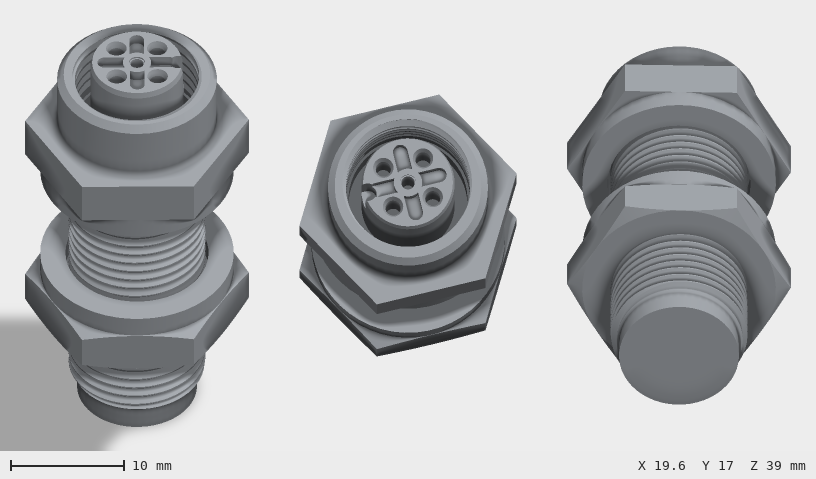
import cadquery as cq
import math

TOTAL_HEIGHT = 39.0
HEX_ACROSS_FLATS = 17.0
HEX_ACROSS_CORNERS = HEX_ACROSS_FLATS / math.cos(math.radians(30))
HEX_HEIGHT = 4.0
RING_DIAMETER = HEX_ACROSS_FLATS
RING_HOLE_DIAMETER = 12.55
RING_THICKNESS = 2.0

STEM_THREAD_LENGTH = 26.0
STEM_THREAD_TURNS = 26
PITCH = STEM_THREAD_LENGTH / STEM_THREAD_TURNS
MAJOR_RADIUS = 6.0
MINOR_RADIUS = 5.45
ROOT_FLAT = PITCH / 4
CREST_FLAT = PITCH / 8
TOOL_OVERLAP = 0.08

STEM_TIP_RADIUS = 5.25
STEM_TIP_HEIGHT = 2.1
FLANGE_BOTTOM = 28.0
FLANGE_TOP = FLANGE_BOTTOM + HEX_HEIGHT
HEAD_TOP = 37.55
HEAD_RADIUS = 7.02
HEAD_CHAMFER = 0.6
HEAD_FILLET = 0.45
SOCKET_DEPTH = 8.0
SOCKET_FLOOR = HEAD_TOP - SOCKET_DEPTH
SOCKET_LOWER_RADIUS = 5.23
SOCKET_THREAD_FULL_TURNS = 5
SOCKET_THREAD_EXIT_ANGLE = -30.0
SOCKET_THREAD_START = HEAD_TOP - (SOCKET_THREAD_EXIT_ANGLE / 360 + SOCKET_THREAD_FULL_TURNS) * PITCH

INSERT_RADIUS = 4.1
INSERT_CHAMFER_WIDTH = 0.15
INSERT_CHAMFER_HEIGHT = 0.5
CONTACT_COUNT = 4
CONTACT_CIRCLE_RADIUS = 2.55
CONTACT_FIRST_ANGLE = 15.0
CONTACT_MOUTH_RADIUS = 0.9
CONTACT_RADIUS = 0.65
CONTACT_MOUTH_DEPTH = 0.6
CONTACT_DEPTH = 3.9
CENTRE_MOUTH_RADIUS = 0.7
CENTRE_MOUTH_DEPTH = 0.15
CENTRE_RADIUS = 0.6
ISLAND_RADIUS = 1.25
SLOT_FIRST_ANGLE = 60.0
SLOT_WIDTH = 1.3
SLOT_REACH = 3.47
SLOT_DEPTH = 0.98
KEY_RADIUS = 0.78
KEY_DISTANCE = 3.63
KEY_DEPTH = 3.12

NUT_BOTTOM = 10.05
NUT_TOP_FACE_RADIUS = 8.3
NUT_BOTTOM_FACE_RADIUS = HEX_ACROSS_FLATS / 2
NUT_CHAMFER_HEIGHT = 0.5


def cylinder(radius, bottom, top):
    return cq.Workplane("XY").workplane(offset=bottom).circle(radius).extrude(top - bottom)


def hexagon(bottom):
    return cq.Workplane("XY").workplane(offset=bottom).polygon(6, HEX_ACROSS_CORNERS).extrude(HEX_HEIGHT)


def ring(bottom):
    ring_top = bottom + RING_THICKNESS
    hole = cylinder(RING_HOLE_DIAMETER / 2, bottom, ring_top)
    return cylinder(RING_DIAMETER / 2, bottom, ring_top).cut(hole)


def thread_groove(open_radius, root_radius, mouth_width, root_width, start, turns):
    """Helical V groove with its centre at Z = start on the +X side, widened past its open side."""
    into_air = math.copysign(TOOL_OVERLAP, open_radius - root_radius)
    slope = (mouth_width - root_width) / (open_radius - root_radius)
    mouth_half = (mouth_width + slope * into_air) / 2
    root_half = root_width / 2
    mouth_radius = open_radius + into_air
    path = cq.Workplane("XY", origin=(0, 0, start)).add(
        cq.Wire.makeHelix(PITCH, turns * PITCH, root_radius, cq.Vector(0, 0, start))
    )
    profile = cq.Workplane("XZ").polyline([
        (root_radius, start - root_half),
        (mouth_radius, start - mouth_half),
        (mouth_radius, start + mouth_half),
        (root_radius, start + root_half),
    ]).close()
    return profile.sweep(path, isFrenet=True)


def make_stem():
    """Threaded stem below the flange, chamfered down to a plain tip."""
    stem_chamfer = MAJOR_RADIUS - STEM_TIP_RADIUS
    envelope = cq.Workplane("XZ").polyline([
        (0, 0),
        (STEM_TIP_RADIUS, 0),
        (STEM_TIP_RADIUS, STEM_TIP_HEIGHT),
        (MAJOR_RADIUS, STEM_TIP_HEIGHT + stem_chamfer),
        (MAJOR_RADIUS, FLANGE_BOTTOM),
        (0, FLANGE_BOTTOM),
    ]).close().revolve(360, (0, 0, 0), (0, 1, 0))
    groove = thread_groove(
        MAJOR_RADIUS, MINOR_RADIUS, PITCH - CREST_FLAT, ROOT_FLAT, PITCH, STEM_THREAD_TURNS
    )
    return cylinder(MAJOR_RADIUS, 0, FLANGE_BOTTOM).cut(groove).intersect(envelope)


def make_head():
    """Round head above the flange with an internally threaded socket, cut tall and then trimmed."""
    blank_top = HEAD_TOP + SOCKET_DEPTH
    blank = cylinder(HEAD_RADIUS + HEAD_FILLET, FLANGE_TOP, blank_top)
    blank = blank.cut(cylinder(MINOR_RADIUS, FLANGE_TOP, blank_top))
    groove = thread_groove(
        MINOR_RADIUS, MAJOR_RADIUS, PITCH - ROOT_FLAT, CREST_FLAT, SOCKET_THREAD_START,
        SOCKET_THREAD_FULL_TURNS + 1
    )
    envelope = (
        cq.Workplane("XZ")
        .moveTo(0, FLANGE_TOP)
        .lineTo(HEAD_RADIUS + HEAD_FILLET, FLANGE_TOP)
        .radiusArc((HEAD_RADIUS, FLANGE_TOP + HEAD_FILLET), HEAD_FILLET)
        .lineTo(HEAD_RADIUS, HEAD_TOP - HEAD_CHAMFER)
        .lineTo(HEAD_RADIUS - HEAD_CHAMFER, HEAD_TOP)
        .lineTo(0, HEAD_TOP)
        .close()
        .revolve(360, (0, 0, 0), (0, 1, 0))
    )
    return blank.cut(groove).intersect(envelope)


def make_housing():
    flange = hexagon(FLANGE_BOTTOM).cut(cylinder(SOCKET_LOWER_RADIUS, SOCKET_FLOOR, FLANGE_TOP))
    return flange.union(make_stem()).union(make_head())


def contact_hole(angle):
    mouth_bottom = TOTAL_HEIGHT - CONTACT_MOUTH_DEPTH
    hole = cq.Workplane("XZ").polyline([
        (0, TOTAL_HEIGHT),
        (CONTACT_MOUTH_RADIUS, TOTAL_HEIGHT),
        (CONTACT_RADIUS, mouth_bottom),
        (CONTACT_RADIUS, TOTAL_HEIGHT - CONTACT_DEPTH),
        (0, TOTAL_HEIGHT - CONTACT_DEPTH),
    ]).close().revolve(360, (0, 0, 0), (0, 1, 0))
    return hole.translate((CONTACT_CIRCLE_RADIUS, 0, 0)).rotate((0, 0, 0), (0, 0, 1), angle)


def radial_slot(angle):
    """Shallow slot from the round centre island outward, with a round outer end."""
    slot_floor = TOTAL_HEIGHT - SLOT_DEPTH
    slot = (
        cq.Workplane("XY", origin=(SLOT_REACH / 2, 0, slot_floor))
        .slot2D(SLOT_REACH + SLOT_WIDTH, SLOT_WIDTH)
        .extrude(SLOT_DEPTH)
        .translate((-SLOT_WIDTH / 2, 0, 0))
    )
    slot = slot.cut(cylinder(ISLAND_RADIUS, slot_floor, TOTAL_HEIGHT))
    beyond_axis = cq.Workplane("XY", origin=(-SLOT_REACH / 2, 0, slot_floor + SLOT_DEPTH / 2)).box(
        SLOT_REACH, SLOT_REACH, SLOT_DEPTH
    )
    return slot.cut(beyond_axis).rotate((0, 0, 0), (0, 0, 1), angle)


def key_groove():
    """Deep round-bottomed groove at the end of the first slot, open through the insert's side."""
    key_floor = TOTAL_HEIGHT - KEY_DEPTH
    key = cylinder(KEY_RADIUS, key_floor, TOTAL_HEIGHT).translate((KEY_DISTANCE, 0, 0))
    opening = cq.Workplane("XY", origin=(KEY_DISTANCE, 0, key_floor)).box(
        INSERT_RADIUS, 2 * KEY_RADIUS, KEY_DEPTH, centered=(False, True, False)
    )
    return key.union(opening).rotate((0, 0, 0), (0, 0, 1), SLOT_FIRST_ANGLE)


def make_insert():
    insert = (
        cylinder(INSERT_RADIUS, SOCKET_FLOOR, TOTAL_HEIGHT)
        .faces(">Z")
        .chamfer(INSERT_CHAMFER_HEIGHT, INSERT_CHAMFER_WIDTH)
    )
    quarter = 360 / CONTACT_COUNT
    for index in range(CONTACT_COUNT):
        insert = insert.cut(contact_hole(CONTACT_FIRST_ANGLE + index * quarter))
        insert = insert.cut(radial_slot(SLOT_FIRST_ANGLE + index * quarter))
    insert = insert.cut(key_groove())
    insert = insert.cut(cylinder(CENTRE_MOUTH_RADIUS, TOTAL_HEIGHT - CENTRE_MOUTH_DEPTH, TOTAL_HEIGHT))
    return insert.cut(cylinder(CENTRE_RADIUS, TOTAL_HEIGHT - CONTACT_DEPTH, TOTAL_HEIGHT))


def make_nut():
    nut_top = NUT_BOTTOM + HEX_HEIGHT
    corner_radius = HEX_ACROSS_CORNERS / 2
    chamfered_round = cq.Workplane("XZ").polyline([
        (0, NUT_BOTTOM),
        (NUT_BOTTOM_FACE_RADIUS, NUT_BOTTOM),
        (corner_radius, NUT_BOTTOM + NUT_CHAMFER_HEIGHT),
        (corner_radius, nut_top - NUT_CHAMFER_HEIGHT),
        (NUT_TOP_FACE_RADIUS, nut_top),
        (0, nut_top),
    ]).close().revolve(360, (0, 0, 0), (0, 1, 0))
    nut = hexagon(NUT_BOTTOM).intersect(chamfered_round)
    return nut.cut(cylinder(MAJOR_RADIUS, NUT_BOTTOM, nut_top))


housing = make_housing()
insert = make_insert()
gasket = ring(FLANGE_BOTTOM - RING_THICKNESS)
washer = ring(NUT_BOTTOM + HEX_HEIGHT)
nut = make_nut()

result = cq.Compound.makeCompound([
    housing.val(),
    insert.val(),
    gasket.val(),
    washer.val(),
    nut.val(),
])